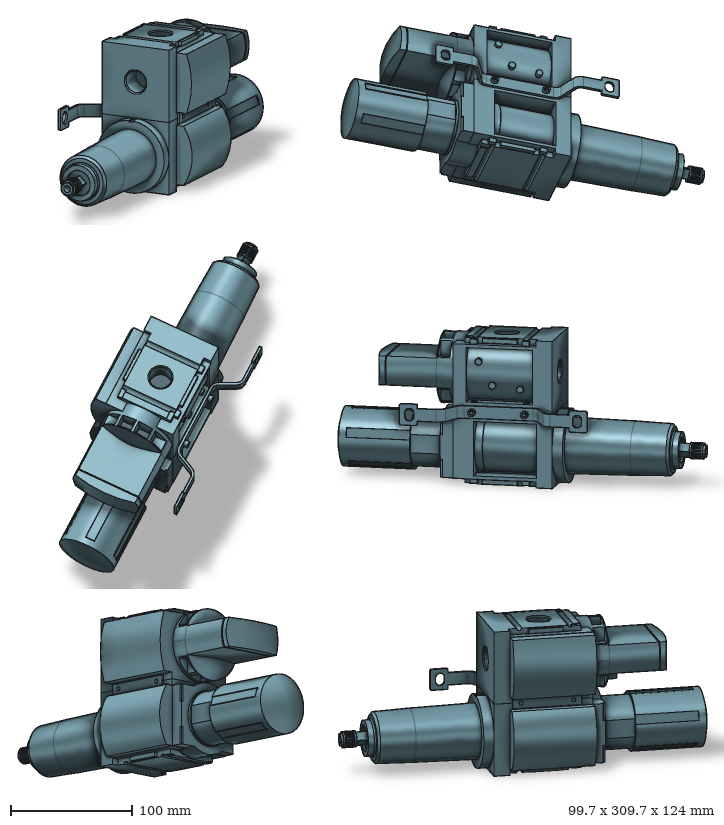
import cadquery as cq
import math

BODY_WIDTH = 62.0
HALF_WIDTH = BODY_WIDTH / 2
AXIS_Z = BODY_WIDTH / 2
BODY_FRONT_Y = -45.0
BODY_BACK_Y = 39.0
SHOULDER_Y = 30.3
SHOULDER_DROP = 5.3
COLLAR_RADIUS = 30.0

STRIP_FRONT_Y = -31.3
STRIP_WIDTH = 6.5
STRIP_DROP = SHOULDER_DROP
PAD_EDGE_X = HALF_WIDTH - STRIP_WIDTH
PAD_GROOVE_Y = 22.0
PAD_GROOVE_RADIUS = 2.5
PAD_GROOVE_DEPTH = 2.0
GROOVE_STOP_FRONT_Y = 22.3
GROOVE_STOP_DROP = 1.0
GROOVE_STOP_WIDTH = 4.0
LUG_REACH = 2.8
LUG_LENGTH = 29.0
LUG_HEIGHT = 3.7
LUG_DROP = 0.5
CLIP_SIZE = (4.0, 6.0, 4.0)

PORT_DIAMETER = 18.5
PORT_MOUTH_DIAMETER = 20.7
PORT_DEPTH = 18.5

WINDOW_HALF_HEIGHT = 23.0
FLOOR_MARGIN = 1.2
UPPER_WINDOW_Y = (-28.2, 28.0)
UPPER_FLOOR_CREST_X = -29.7
UPPER_FLOOR_EDGE_X = -21.0
LOWER_WINDOW_Y = (-31.5, 21.5)
LOWER_STEP_Y = 15.0
LOWER_FLOOR_CREST_X = -26.3
LOWER_FLOOR_EDGE_X = -15.0
LOWER_STEP_HEIGHT = 1.5
CLIP_HOLE_X = -25.0
CLIP_HOLE_DIAMETER = 5.3
CLIP_HOLE_DEPTH = 3.7

STUBS = [(17.5, 11.0, 5.5), (6.0, -8.5, 6.0), (-17.5, -10.8, 5.5)]
STUB_TIP_X = -30.5

COVER_HEIGHT = 50.8
COVER_Y = (-31.3, BODY_BACK_Y)
UPPER_COVER_EDGE = 9.3
UPPER_COVER_PEAK = 14.0
LOWER_COVER_EDGE = 6.5
LOWER_COVER_PEAK = 14.5

RING_RADIUS = COLLAR_RADIUS
RING_BACK_Y = 53.3
RING_DOME_Y = 58.2
RING_DOME_RADIUS = 12.5
POCKET_X_RANGES = [(1.2, 13.5), (16.5, 26.5)]
POCKET_Y = (42.5, 52.3)
POCKET_FLOOR_HEIGHT = 13.0
COIL_THICKNESS = 24.5
COIL_HALF_WIDTH = RING_RADIUS
COIL_EDGE_X = math.sqrt(COIL_HALF_WIDTH**2 - (COIL_THICKNESS / 2) ** 2)
COIL_CORNER_Y = 101.5
COIL_END_Y = 105.5
COIL_SEAM_Y = 96.0
COIL_SEAM_DEPTH = 0.5
COIL_SEAM_WIDTH = 0.5

FLANGE_BACK_Y = 50.0
FLANGE_HALF_HEIGHT = 25.5
FLANGE_HALF_WIDTH = 30.5
FLANGE_TAB_HEIGHT = 21.5
FLANGE_RECESS_LENGTH = 2.0
FLANGE_RECESS_DEPTH = 1.5
NECK_DIAMETER = 45.0
NECK_FLAT_HEIGHT = 15.5
NECK_RIM_DIAMETER = 46.5
NECK_RIM_Y = 52.0
KNOB_DIAMETER = 50.2
KNOB_FRONT_Y = 77.0
KNOB_EDGE_Y = 137.0
KNOB_END_Y = 141.2
GRIP_COUNT = 5
GRIP_WIDTH = 8.0
GRIP_DEPTH = 1.2
GRIP_END_Y = 130.7

BOWL_COLLAR_FRONT_Y = -53.5
BOWL_COLLAR_NOTCH = 3.7
BOWL_COLLAR_NOTCH_DEPTH = 1.2
BOWL_TOP_RADIUS = 23.5
BOWL_LINE_Y = -109.0
BOWL_LINE_RADIUS = 22.5
BOWL_END_Y = -139.0
BOWL_END_RADIUS = 21.7
CAP_CHAMFER = 2.2
CAP_STEP_RADIUS = 16.0
CAP_RADIUS = 15.2
CAP_STEP_Y = -142.7
CAP_END_Y = -147.7
CAP_RECESS_DIAMETER = 21.7
CAP_RECESS_DEPTH = 2.5
STEM_RADIUS = 6.0
STEM_FLAT_DISTANCE = 4.3
DRAIN_RADIUS = 6.8
DRAIN_START_Y = -155.5
DRAIN_END_Y = -166.5
DRAIN_TIP_RADIUS = 5.3
DRAIN_TIP_Y = -168.5
DRAIN_BORE_DIAMETER = 6.0
DRAIN_BORE_DEPTH = 9.3
KNURL_COUNT = 18
KNURL_WIDTH = 1.0
KNURL_DEPTH = 1.0
KNURL_LENGTH = 8.0

BRACKET_THICKNESS = 2.2
BRACKET_HEIGHT = 10.5
BRACKET_STRIP_END_Y = 29.0
BRACKET_OUTER_X = -54.2
BEND_RADIUS = 6.8
BEND_ANGLE = math.radians(63)
BRACKET_LUG_Y = (64.0, 79.3)
BRACKET_LUG_HEIGHT = 18.0
LUG_CORNER_RADIUS = 1.5
SLOT_CENTRE_Y = 71.0
SLOT_WIDTH = 7.7
SLOT_LENGTH = 10.5
SCREW_Y = 22.3
SCREW_SHANK_DIAMETER = 3.5
SCREW_HEAD_DIAMETER = 6.0
SCREW_HEAD_HEIGHT = 3.7
SCREW_SOCKET_DIAMETER = 3.0
SCREW_SOCKET_DEPTH = 2.0
CLAMP_THICKNESS = 2.0
CLAMP_HEIGHT = 9.3


def block(x_range, y_range, z_range):
    """Box between pairs of X, Y and Z limits."""
    sizes = [abs(limits[1] - limits[0]) for limits in (x_range, y_range, z_range)]
    centre = tuple(sum(limits) / 2 for limits in (x_range, y_range, z_range))
    return cq.Workplane("XY").box(*sizes).translate(centre)


def rod_y(radius, y_start, y_end, axis_z):
    """Cylinder along Y."""
    solid = cq.Solid.makeCylinder(
        radius, abs(y_end - y_start), cq.Vector(0, min(y_start, y_end), axis_z), cq.Vector(0, 1, 0)
    )
    return cq.Workplane(obj=solid)


def rod_x(diameter, x_start, x_end, y, z):
    """Cylinder along X, from x_start up to the larger x_end."""
    solid = cq.Solid.makeCylinder(
        diameter / 2, x_end - x_start, cq.Vector(x_start, y, z), cq.Vector(1, 0, 0)
    )
    return cq.Workplane(obj=solid)


def turned(profile, axis_z):
    """Solid of revolution about a Y-parallel axis; the profile is drawn as (radius, y)."""
    return profile.close().revolve(360, (0, 0, 0), (0, 1, 0)).translate((0, 0, axis_z))


def around_axis(shape, count, axis_z):
    """Equally spaced copies of a shape about a Y-parallel axis."""
    start, end = (0, 0, axis_z), (0, 1, axis_z)
    step = 360 / count
    return [shape.rotate(start, end, i * step) for i in range(count)]


def pad_grooves(body):
    """Cut two round-bottomed grooves along X into the pad; lower stops fill the ends of the rear one."""
    top = BODY_WIDTH
    groove_z = top + PAD_GROOVE_RADIUS - PAD_GROOVE_DEPTH
    for y in (-PAD_GROOVE_Y, PAD_GROOVE_Y):
        body = body.cut(rod_x(2 * PAD_GROOVE_RADIUS, -PAD_EDGE_X, PAD_EDGE_X, y, groove_z))
    for side in (-1, 1):
        stop_x = (side * (PAD_EDGE_X - GROOVE_STOP_WIDTH), side * PAD_EDGE_X)
        stop_y = (GROOVE_STOP_FRONT_Y, SHOULDER_Y)
        stop_top = top - GROOVE_STOP_DROP
        body = body.cut(block(stop_x, stop_y, (stop_top, top)))
        body = body.union(block(stop_x, stop_y, (top - STRIP_DROP, stop_top)))
    return body


def clips(body):
    """Add a small clip beside each end of the pad, on the -X strip."""
    x = -PAD_EDGE_X - CLIP_SIZE[0] / 2
    z = BODY_WIDTH - STRIP_DROP + CLIP_SIZE[2] / 2
    for y in (-PAD_GROOVE_Y, PAD_GROOVE_Y):
        body = body.union(cq.Workplane("XY").box(*CLIP_SIZE).translate((x, y, z)))
    return body


def housing_block():
    """Housing with its axis at +AXIS_Z: lowered rear shoulder, side strips and grooved port pad."""
    top = BODY_WIDTH
    x_span = (-HALF_WIDTH, HALF_WIDTH)
    shoulder_y = (SHOULDER_Y, BODY_BACK_Y)
    body = block(x_span, (BODY_FRONT_Y, BODY_BACK_Y), (0, top))
    body = body.cut(block(x_span, shoulder_y, (top - SHOULDER_DROP, top)))
    body = body.union(rod_y(COLLAR_RADIUS, *shoulder_y, AXIS_Z))
    for side in (-1, 1):
        strip_x = (side * PAD_EDGE_X, side * HALF_WIDTH)
        body = body.cut(block(strip_x, (STRIP_FRONT_Y, SHOULDER_Y), (top - STRIP_DROP, top)))
        lug_x = (side * PAD_EDGE_X, side * (PAD_EDGE_X + LUG_REACH))
        lug_top = top - LUG_DROP
        lug = block(lug_x, (-LUG_LENGTH / 2, LUG_LENGTH / 2), (lug_top - LUG_HEIGHT, lug_top))
        body = body.union(lug)
    return clips(pad_grooves(body))


def window(y_range, crest_x, edge_x, axis_z):
    """Pocket in the -X side whose floor is a convex arc between two flat margins."""
    half = WINDOW_HALF_HEIGHT
    arc_half = half - FLOOR_MARGIN
    profile = (
        cq.Workplane("XZ", origin=(0, y_range[1], axis_z))
        .moveTo(-HALF_WIDTH, -half)
        .lineTo(edge_x, -half)
        .lineTo(edge_x, -arc_half)
        .threePointArc((crest_x, 0), (edge_x, arc_half))
        .lineTo(edge_x, half)
        .lineTo(-HALF_WIDTH, half)
        .close()
    )
    return profile.extrude(y_range[1] - y_range[0])


def cover(edge, peak, axis_z):
    """Cover on the +X face with a convex outer side."""
    half = COVER_HEIGHT / 2
    profile = (
        cq.Workplane("XZ", origin=(HALF_WIDTH, COVER_Y[1], axis_z))
        .moveTo(0, -half)
        .lineTo(edge, -half)
        .threePointArc((peak, 0), (edge, half))
        .lineTo(0, half)
        .close()
    )
    return profile.extrude(COVER_Y[1] - COVER_Y[0])


def port(plane, mouth_centre):
    """Blind port with a chamfered mouth, cut against the plane's outward normal."""
    chamfer = (PORT_MOUTH_DIAMETER - PORT_DIAMETER) / 2
    bore = cq.Workplane(plane, origin=mouth_centre).circle(PORT_DIAMETER / 2).extrude(-PORT_DEPTH)
    mouth = (
        cq.Workplane(plane, origin=mouth_centre)
        .circle(PORT_MOUTH_DIAMETER / 2)
        .extrude(-chamfer, taper=45)
    )
    return bore.union(mouth)


def screw_holes():
    """The two clamping holes along X through the joint between the housings."""
    left = rod_x(SCREW_SHANK_DIAMETER, -HALF_WIDTH, HALF_WIDTH, -SCREW_Y, 0)
    return left.union(left.mirror("XZ"))


def pocketed_ring():
    """Ring behind the upper housing with a shallow domed back and upright pockets in its rim."""
    ring = turned(
        cq.Workplane("XY")
        .moveTo(0, BODY_BACK_Y)
        .lineTo(RING_RADIUS, BODY_BACK_Y)
        .lineTo(RING_RADIUS, RING_BACK_Y)
        .lineTo(RING_DOME_RADIUS, RING_DOME_Y)
        .lineTo(0, RING_DOME_Y),
        AXIS_Z,
    )
    for near_x, far_x in POCKET_X_RANGES:
        for x_side in (-1, 1):
            for z_side in (-1, 1):
                pocket = block(
                    (x_side * near_x, x_side * far_x),
                    POCKET_Y,
                    (AXIS_Z + z_side * POCKET_FLOOR_HEIGHT, AXIS_Z + z_side * RING_RADIUS),
                )
                ring = ring.cut(pocket)
    return ring


def coil_section(inset):
    """Coil cross-section at the ring's front plane: flat top and bottom, sides round about the axis."""
    half_height = COIL_THICKNESS / 2 - inset
    edge = COIL_EDGE_X - inset
    bulge = COIL_HALF_WIDTH - inset
    return (
        cq.Workplane("XZ", origin=(0, BODY_BACK_Y, AXIS_Z))
        .moveTo(-edge, -half_height)
        .lineTo(edge, -half_height)
        .threePointArc((bulge, 0), (edge, half_height))
        .lineTo(-edge, half_height)
        .threePointArc((-bulge, 0), (-edge, -half_height))
        .close()
    )


def coil():
    """Solenoid coil with a bowed back end and a seam groove near it."""
    length = COIL_END_Y - BODY_BACK_Y
    outline = (
        cq.Workplane("XY")
        .moveTo(-COIL_HALF_WIDTH, BODY_BACK_Y)
        .lineTo(COIL_HALF_WIDTH, BODY_BACK_Y)
        .lineTo(COIL_HALF_WIDTH, COIL_CORNER_Y)
        .threePointArc((0, COIL_END_Y), (-COIL_HALF_WIDTH, COIL_CORNER_Y))
        .close()
        .extrude(BODY_WIDTH)
    )
    body = coil_section(0).extrude(-length).intersect(outline)
    seam = coil_section(0).extrude(-COIL_SEAM_WIDTH)
    seam = seam.cut(coil_section(COIL_SEAM_DEPTH).extrude(-COIL_SEAM_WIDTH))
    return body.cut(seam.translate((0, COIL_SEAM_Y - BODY_BACK_Y, 0)))


def clip_holes():
    """Two shallow holes in the lower wall of the upper window, in line with the clips."""
    wall_z = AXIS_Z - WINDOW_HALF_HEIGHT
    return (
        cq.Workplane("XY", origin=(0, 0, wall_z - CLIP_HOLE_DEPTH))
        .pushPoints([(CLIP_HOLE_X, -PAD_GROOVE_Y), (CLIP_HOLE_X, PAD_GROOVE_Y)])
        .circle(CLIP_HOLE_DIAMETER / 2)
        .extrude(CLIP_HOLE_DEPTH)
    )


def upper_valve():
    """Upper unit: ported housing with window, cover, pocketed ring and coil."""
    body = housing_block()
    body = body.cut(window(UPPER_WINDOW_Y, UPPER_FLOOR_CREST_X, UPPER_FLOOR_EDGE_X, AXIS_Z))
    body = body.cut(clip_holes())
    for y, offset, diameter in STUBS:
        body = body.union(rod_x(diameter, STUB_TIP_X, 0, y, AXIS_Z + offset))
    body = body.union(cover(UPPER_COVER_EDGE, UPPER_COVER_PEAK, AXIS_Z))
    body = body.cut(port("XY", (0, 0, BODY_WIDTH)))
    body = body.cut(port("XZ", (0, BODY_FRONT_Y, AXIS_Z)))
    body = body.union(pocketed_ring()).union(coil())
    return body.cut(screw_holes())


def rear_flange():
    """Flat-sided flange with a round underside; its side faces are set back around a middle tab."""
    y_range = (BODY_BACK_Y, FLANGE_BACK_Y)
    z_range = (-AXIS_Z - FLANGE_HALF_HEIGHT, -AXIS_Z + FLANGE_HALF_HEIGHT)
    flange = block((-FLANGE_HALF_WIDTH, FLANGE_HALF_WIDTH), y_range, z_range)
    flange = flange.union(rod_y(COLLAR_RADIUS, *y_range, -AXIS_Z))
    recess_y = (FLANGE_BACK_Y - FLANGE_RECESS_LENGTH, FLANGE_BACK_Y)
    for x_side in (-1, 1):
        recess_x = (x_side * (FLANGE_HALF_WIDTH - FLANGE_RECESS_DEPTH), x_side * FLANGE_HALF_WIDTH)
        for z_side in (-1, 1):
            recess_z = (-AXIS_Z + z_side * FLANGE_TAB_HEIGHT / 2, -AXIS_Z + z_side * FLANGE_HALF_HEIGHT)
            flange = flange.cut(block(recess_x, recess_y, recess_z))
    return flange


def neck():
    """Round neck between flange and knob, flat on both X sides, with a low rim at its foot."""
    radius = NECK_DIAMETER / 2
    flat_x = math.sqrt(radius**2 - (NECK_FLAT_HEIGHT / 2) ** 2)
    y_range = (BODY_BACK_Y, KNOB_FRONT_Y)
    slab = block((-flat_x, flat_x), y_range, (-AXIS_Z - radius, -AXIS_Z + radius))
    shaft = rod_y(radius, *y_range, -AXIS_Z).intersect(slab)
    return shaft.union(rod_y(NECK_RIM_DIAMETER / 2, BODY_BACK_Y, NECK_RIM_Y, -AXIS_Z))


def knob():
    """Adjusting knob with a domed end and grip grooves open to its front edge."""
    radius = KNOB_DIAMETER / 2
    dome_height = KNOB_END_Y - KNOB_EDGE_Y
    dome_radius = (radius**2 + dome_height**2) / (2 * dome_height)
    middle = radius / 2
    middle_y = KNOB_END_Y - dome_radius + math.sqrt(dome_radius**2 - middle**2)
    body = turned(
        cq.Workplane("XY")
        .moveTo(0, KNOB_FRONT_Y)
        .lineTo(radius, KNOB_FRONT_Y)
        .lineTo(radius, KNOB_EDGE_Y)
        .threePointArc((middle, middle_y), (0, KNOB_END_Y)),
        -AXIS_Z,
    )
    rim_z = -AXIS_Z + radius
    half = GRIP_WIDTH / 2
    groove = block((-half, half), (KNOB_FRONT_Y, GRIP_END_Y), (rim_z - GRIP_DEPTH, rim_z + GRIP_DEPTH))
    for cutter in around_axis(groove, GRIP_COUNT, -AXIS_Z):
        body = body.cut(cutter)
    return body


def bowl():
    """Notched collar, tapering bowl and stepped end cap in front of the lower housing."""
    collar = rod_y(HALF_WIDTH, BOWL_COLLAR_FRONT_Y, BODY_FRONT_Y, -AXIS_Z)
    half = BOWL_COLLAR_NOTCH / 2
    collar = collar.cut(
        block((-half, half), (BOWL_COLLAR_FRONT_Y, BODY_FRONT_Y), (-BOWL_COLLAR_NOTCH_DEPTH, 0))
    )
    chamfer_end_y = BOWL_END_Y - CAP_CHAMFER
    body = turned(
        cq.Workplane("XY").polyline([
            (0, BODY_FRONT_Y),
            (BOWL_TOP_RADIUS, BODY_FRONT_Y),
            (BOWL_TOP_RADIUS, BOWL_COLLAR_FRONT_Y),
            (BOWL_LINE_RADIUS, BOWL_LINE_Y),
            (BOWL_END_RADIUS, BOWL_END_Y),
            (BOWL_END_RADIUS - CAP_CHAMFER, chamfer_end_y),
            (CAP_STEP_RADIUS, chamfer_end_y),
            (CAP_RADIUS, CAP_STEP_Y),
            (CAP_RADIUS, CAP_END_Y),
            (0, CAP_END_Y),
        ]),
        -AXIS_Z,
    )
    recess = rod_y(CAP_RECESS_DIAMETER / 2, CAP_END_Y, CAP_END_Y + CAP_RECESS_DEPTH, -AXIS_Z)
    return collar.union(body.cut(recess))


def drain():
    """Drain stem with four flats, carrying a knurled, bored thumb nut."""
    stem_y = (DRAIN_START_Y, CAP_END_Y + CAP_RECESS_DEPTH)
    square = block(
        (-STEM_FLAT_DISTANCE, STEM_FLAT_DISTANCE),
        stem_y,
        (-AXIS_Z - STEM_FLAT_DISTANCE, -AXIS_Z + STEM_FLAT_DISTANCE),
    ).rotate((0, 0, -AXIS_Z), (0, 1, -AXIS_Z), 45)
    stem = rod_y(STEM_RADIUS, *stem_y, -AXIS_Z).intersect(square)
    nut = rod_y(DRAIN_RADIUS, DRAIN_END_Y, DRAIN_START_Y, -AXIS_Z)
    rim_z = -AXIS_Z + DRAIN_RADIUS
    half = KNURL_WIDTH / 2
    knurl_middle_y = (DRAIN_START_Y + DRAIN_END_Y) / 2
    knurl_y = (knurl_middle_y - KNURL_LENGTH / 2, knurl_middle_y + KNURL_LENGTH / 2)
    groove = block((-half, half), knurl_y, (rim_z - KNURL_DEPTH, rim_z + KNURL_DEPTH))
    for cutter in around_axis(groove, KNURL_COUNT, -AXIS_Z):
        nut = nut.cut(cutter)
    nut = nut.union(rod_y(DRAIN_TIP_RADIUS, DRAIN_TIP_Y, DRAIN_END_Y, -AXIS_Z))
    bore = rod_y(DRAIN_BORE_DIAMETER / 2, DRAIN_TIP_Y, DRAIN_TIP_Y + DRAIN_BORE_DEPTH, -AXIS_Z)
    return stem.union(nut.cut(bore))


def lower_regulator():
    """Lower unit: housing with window and cover, knob behind it, bowl and drain in front."""
    body = housing_block().mirror("XY")
    main_y = (LOWER_WINDOW_Y[0], LOWER_STEP_Y)
    step_y = (LOWER_STEP_Y, LOWER_WINDOW_Y[1])
    step_crest_x = LOWER_FLOOR_CREST_X - LOWER_STEP_HEIGHT
    step_edge_x = LOWER_FLOOR_EDGE_X - LOWER_STEP_HEIGHT
    body = body.cut(window(main_y, LOWER_FLOOR_CREST_X, LOWER_FLOOR_EDGE_X, -AXIS_Z))
    body = body.cut(window(step_y, step_crest_x, step_edge_x, -AXIS_Z))
    body = body.union(cover(LOWER_COVER_EDGE, LOWER_COVER_PEAK, -AXIS_Z))
    body = body.union(rear_flange()).union(neck()).union(knob())
    body = body.union(bowl()).union(drain())
    return body.cut(screw_holes())


def bracket_arm():
    """Rear arm of the bracket: half the strip, an S-bend and a slotted end lug."""
    strip_x = -HALF_WIDTH - BRACKET_THICKNESS / 2
    lug_x = BRACKET_OUTER_X + BRACKET_THICKNESS / 2
    sine, cosine = math.sin(BEND_ANGLE), math.cos(BEND_ANGLE)
    arc_out = BEND_RADIUS * (1 - cosine)
    arc_along = BEND_RADIUS * sine
    ramp = (strip_x - lug_x - 2 * arc_out) / sine
    first_bend_end = (strip_x - arc_out, BRACKET_STRIP_END_Y + arc_along)
    ramp_end = (lug_x + arc_out, first_bend_end[1] + ramp * cosine)
    bend_end = (lug_x, ramp_end[1] + arc_along)
    path = (
        cq.Workplane("XY")
        .moveTo(strip_x, 0)
        .lineTo(strip_x, BRACKET_STRIP_END_Y)
        .tangentArcPoint(first_bend_end, relative=False)
        .lineTo(*ramp_end)
        .tangentArcPoint(bend_end, relative=False)
        .lineTo(lug_x, BRACKET_LUG_Y[1] - LUG_CORNER_RADIUS)
    )
    section = cq.Workplane("XZ", origin=(strip_x, 0, 0)).rect(BRACKET_THICKNESS, BRACKET_HEIGHT)
    arm = section.sweep(path)
    half = BRACKET_LUG_HEIGHT / 2
    plate_x = (BRACKET_OUTER_X, BRACKET_OUTER_X + BRACKET_THICKNESS)
    lug = block(plate_x, BRACKET_LUG_Y, (-half, half)).edges("|X").fillet(LUG_CORNER_RADIUS)
    slot = (
        cq.Workplane("YZ", origin=(BRACKET_OUTER_X, SLOT_CENTRE_Y, 0))
        .slot2D(SLOT_LENGTH, SLOT_WIDTH, 90)
        .extrude(BRACKET_THICKNESS)
    )
    return arm.union(lug).cut(slot)


def bracket():
    """Mounting bracket, symmetrical about Y = 0, with two screw holes."""
    arm = bracket_arm()
    body = arm.union(arm.mirror("XZ"))
    for y in (-SCREW_Y, SCREW_Y):
        body = body.cut(rod_x(SCREW_SHANK_DIAMETER, -HALF_WIDTH - BRACKET_THICKNESS, -HALF_WIDTH, y, 0))
    return body


def clamp_bar():
    """Bar on the +X side across the joint, with holes that take the screw ends."""
    half = CLAMP_HEIGHT / 2
    x_range = (HALF_WIDTH, HALF_WIDTH + CLAMP_THICKNESS)
    body = block(x_range, (-BRACKET_STRIP_END_Y, BRACKET_STRIP_END_Y), (-half, half))
    for y in (-SCREW_Y, SCREW_Y):
        body = body.cut(rod_x(SCREW_SHANK_DIAMETER, *x_range, y, 0))
    return body


def screw(y):
    """Socket-head screw from the bracket through to the clamp bar."""
    seat_x = -HALF_WIDTH - BRACKET_THICKNESS
    head_x = seat_x - SCREW_HEAD_HEIGHT
    head = rod_x(SCREW_HEAD_DIAMETER, head_x, seat_x, y, 0)
    shank = rod_x(SCREW_SHANK_DIAMETER, seat_x, HALF_WIDTH + CLAMP_THICKNESS, y, 0)
    socket = rod_x(SCREW_SOCKET_DIAMETER, head_x, head_x + SCREW_SOCKET_DEPTH, y, 0)
    return head.union(shank).cut(socket)


screws = [screw(y) for y in (-SCREW_Y, SCREW_Y)]

result = cq.Compound.makeCompound([
    upper_valve().val(),
    lower_regulator().val(),
    bracket().val(),
    clamp_bar().val(),
    *[part.val() for part in screws],
])